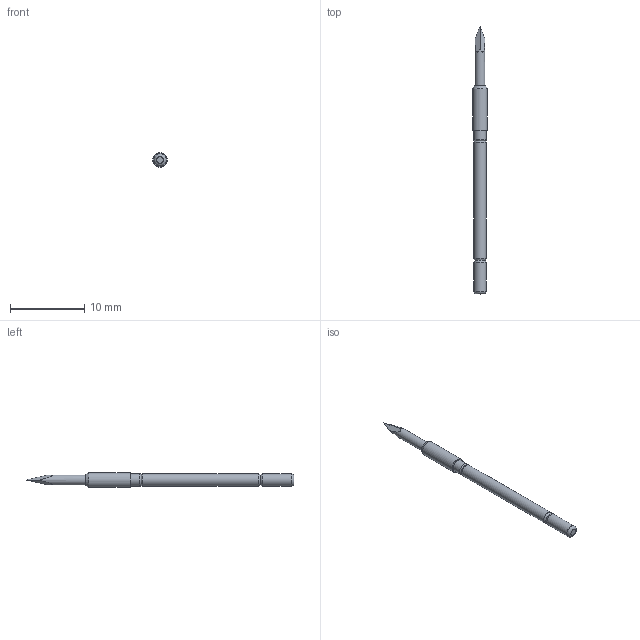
import cadquery as cq
import math

total_length = 36.0

tip_radius = 0.665
shoulder_radius = 0.8
collar_radius = 1.0
barrel_radius = 0.82
tail_round = 0.38

shoulder_start = 8.0
collar_start = 8.4
collar_end = 14.0
front_crimp_center = 15.45
rear_crimp_center = 31.5

front_crimp_half_width = 0.2
rear_crimp_half_width = 0.3
crimp_depth = 0.15

side_edge_length = 1.8
ridge_edge_length = 3.0

point_reach = total_length


def station(distance_from_point):
    """Y position of a place given by its distance from the point."""
    return total_length - distance_from_point


def convex_round_middle(half_width):
    """Inset and offset from the valley, halfway along a round tangent to the barrel."""
    radius = (half_width**2 + crimp_depth**2) / (2 * crimp_depth)
    half_angle = math.asin(half_width / radius) / 2
    inset = radius * (1 - math.cos(half_angle))
    offset = half_width - radius * math.sin(half_angle)
    return inset, offset


def add_crimp(profile, center, half_width):
    """Continue a profile running towards +Y through one crimp groove."""
    y = station(center)
    inset, offset = convex_round_middle(half_width)
    middle_radius = barrel_radius - inset
    valley = (barrel_radius - crimp_depth, y)
    return (
        profile.lineTo(barrel_radius, y - half_width)
        .threePointArc((middle_radius, y - offset), valley)
        .threePointArc((middle_radius, y + offset), (barrel_radius, y + half_width))
    )


def make_turned_pin():
    """Revolve the half outline, drawn as (radius, Y), about the Y axis."""
    diagonal = tail_round * math.sqrt(0.5)
    round_middle = (barrel_radius - tail_round + diagonal, tail_round - diagonal)
    profile = (
        cq.Workplane("XY")
        .lineTo(barrel_radius - tail_round, 0)
        .threePointArc(round_middle, (barrel_radius, tail_round))
    )
    profile = add_crimp(profile, rear_crimp_center, rear_crimp_half_width)
    profile = add_crimp(profile, front_crimp_center, front_crimp_half_width)
    profile = (
        profile.lineTo(barrel_radius, station(collar_end))
        .lineTo(collar_radius, station(collar_end))
        .lineTo(collar_radius, station(collar_start))
        .lineTo(shoulder_radius, station(shoulder_start))
        .lineTo(tip_radius, station(shoulder_start))
        .lineTo(tip_radius, total_length)
        .lineTo(0, total_length)
        .close()
    )
    return profile.revolve(360, (0, 0, 0), (0, 1, 0))


def make_point_pyramid():
    """Diamond-based pyramid with its apex at the point, base at the tail."""
    half_width = tip_radius * point_reach / side_edge_length
    half_height = tip_radius * point_reach / ridge_edge_length
    corners = [
        cq.Vector(half_width, 0, 0),
        cq.Vector(0, 0, half_height),
        cq.Vector(-half_width, 0, 0),
        cq.Vector(0, 0, -half_height),
    ]
    apex = cq.Vector(0, point_reach, 0)
    faces = [cq.Face.makeFromWires(cq.Wire.makePolygon(corners, close=True))]
    for index, corner in enumerate(corners):
        triangle = cq.Wire.makePolygon([corners[index - 1], corner, apex], close=True)
        faces.append(cq.Face.makeFromWires(triangle))
    return cq.Workplane(obj=cq.Solid.makeSolid(cq.Shell.makeShell(faces)))


result = make_turned_pin().intersect(make_point_pyramid())